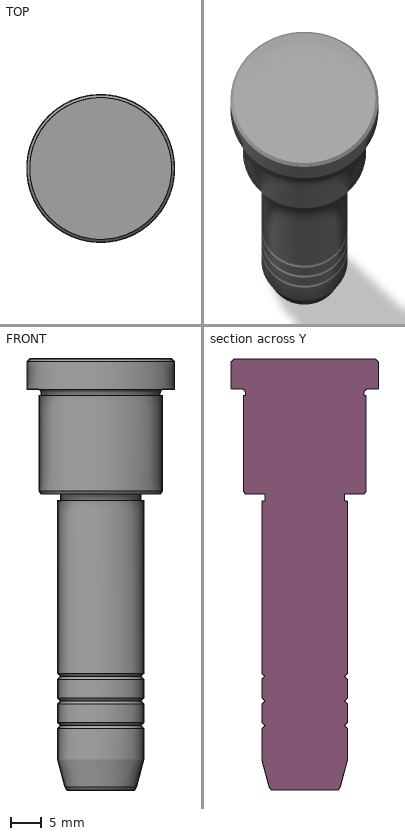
import cadquery as cq
import math

total_length = 70.0

head_radius = 12.005
head_height = 5.0
head_chamfer = 0.5

collar_radius = 10.0
collar_bottom_z = 48.0
collar_lead_height = 0.5
collar_lead_inset = 0.35
relief_height = 1.0
relief_depth = 0.35
relief_fillet = 0.55

shank_radius = 7.0
neck_height = 1.05
neck_depth = 0.5

groove_count = 3
groove_pitch = 4.0
lowest_groove_z = 10.5
groove_depth = 0.5

taper_height = 5.0
taper_angle = math.radians(15)
tip_chamfer_height = 0.5
tip_chamfer_inset = 0.35

head_bottom_z = total_length - head_height
relief_radius = collar_radius - relief_depth


def turned(profile):
    """Revolve a radius-height profile drawn on XZ about the Z axis."""
    return profile.close().revolve(360, (0, 0, 0), (0, 1, 0))


def make_head():
    head = cq.Workplane("XY").workplane(offset=head_bottom_z).circle(head_radius).extrude(head_height)
    return head.faces(">Z").chamfer(head_chamfer)


def make_collar():
    lead_top_z = collar_bottom_z + collar_lead_height
    relief_bottom_z = head_bottom_z - relief_height
    fillet_start = (relief_radius, head_bottom_z - relief_fillet)
    fillet_end = (relief_radius + relief_fillet, head_bottom_z)
    profile = (
        cq.Workplane("XZ")
        .moveTo(0, collar_bottom_z)
        .lineTo(collar_radius - collar_lead_inset, collar_bottom_z)
        .lineTo(collar_radius, lead_top_z)
        .lineTo(collar_radius, relief_bottom_z)
        .lineTo(relief_radius, relief_bottom_z)
        .lineTo(*fillet_start)
        .radiusArc(fillet_end, relief_fillet)
        .lineTo(0, head_bottom_z)
    )
    return turned(profile)


def make_shank():
    neck_radius = shank_radius - neck_depth
    neck_bottom_z = collar_bottom_z - neck_height
    taper_end_radius = shank_radius - (taper_height - tip_chamfer_height) * math.tan(taper_angle)
    profile = (
        cq.Workplane("XZ")
        .moveTo(0, 0)
        .lineTo(taper_end_radius - tip_chamfer_inset, 0)
        .lineTo(taper_end_radius, tip_chamfer_height)
        .lineTo(shank_radius, taper_height)
        .lineTo(shank_radius, neck_bottom_z)
        .lineTo(neck_radius, neck_bottom_z)
        .lineTo(neck_radius, collar_bottom_z)
        .lineTo(0, collar_bottom_z)
    )
    return turned(profile)


def make_groove(center_z):
    """Ring with a right-angled V section whose point faces the axis."""
    profile = (
        cq.Workplane("XZ")
        .moveTo(shank_radius - groove_depth, center_z)
        .lineTo(shank_radius + groove_depth, center_z - 2 * groove_depth)
        .lineTo(shank_radius + groove_depth, center_z + 2 * groove_depth)
    )
    return turned(profile)


shank = make_shank()
for index in range(groove_count):
    shank = shank.cut(make_groove(lowest_groove_z + index * groove_pitch))

result = shank.union(make_collar()).union(make_head())